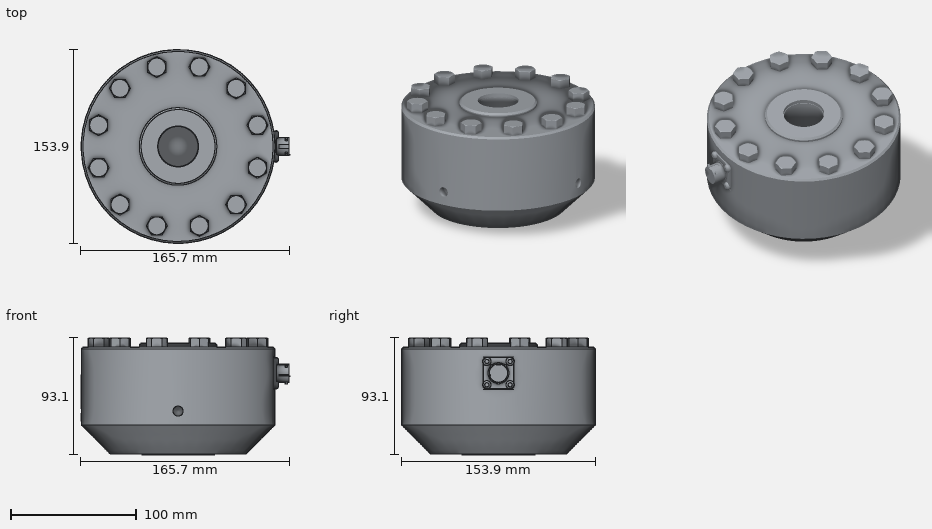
import cadquery as cq
import math

total_length = 165.7
body_diameter = 153.9
total_height = 93.1
body_radius = body_diameter / 2
connector_tip = total_length - body_radius

foot_height = 0.8
cone_top = 24.0
plate_top = 85.8
hub_top = 89.0

foot_radius = 28.8
cone_foot_radius = 53.8
hub_radius = 30.8
edge_chamfer = 1.5

bore_radius = 15.9
mouth_radius = 16.2
mouth_depth = 3.1
bore_floor = 44.5

bolt_count = 12
bolt_circle_radius = 65.3
bolt_first_angle = 15.0
bolt_across_flats = 14.4
bolt_crown_radius = 7.1
bolt_chamfer_height = 0.5

side_hole_diameter = 8.0
side_hole_height = 35.0
side_hole_depth = 6.6
drill_point_angle = 118.0
side_hole_angles = (180.0, 270.0)

connector_height = 65.1
seat_x = 76.0
seat_size = 25.8
flange_size = 24.5
flange_thickness = 1.7
flange_corner_radius = 3.1
collar_radius = 8.3
collar_thickness = 0.5
barrel_radius = 7.3
rim_tab_length = 0.5
barrel_end = connector_tip - rim_tab_length
flange_face = seat_x + flange_thickness

screw_offset = 9.3
screw_radius = 3.3
screw_head_height = 2.0
screw_shoulder_radius = 2.7
screw_shoulder_rise = 1.3
screw_crown_radius = 1.7

pin_radius = 1.0
pin_tip_radius = 8.8
pin_x = 86.0
pin_angles = (45.0, 135.0, 270.0)
keyway_start = 80.2
keyway_depth = 0.7
main_keyway = (90.0, 3.5)
side_keyway = (195.0, 1.2)

rim_tab_angle = 199.0
rim_tab_size = 0.3


def turned_body():
    profile = (
        cq.Workplane("XZ")
        .lineTo(foot_radius, 0)
        .lineTo(foot_radius, foot_height)
        .lineTo(cone_foot_radius, foot_height)
        .lineTo(body_radius, cone_top)
        .lineTo(body_radius, plate_top - edge_chamfer)
        .lineTo(body_radius - edge_chamfer, plate_top)
        .lineTo(hub_radius, plate_top)
        .lineTo(hub_radius, hub_top - edge_chamfer)
        .lineTo(hub_radius - edge_chamfer, hub_top)
        .lineTo(mouth_radius, hub_top)
        .lineTo(mouth_radius, hub_top - mouth_depth)
        .lineTo(bore_radius, hub_top - mouth_depth)
        .lineTo(bore_radius, bore_floor)
        .lineTo(0, bore_floor)
        .close()
    )
    return profile.revolve(360, (0, 0, 0), (0, 1, 0))


def bolt_head():
    """Hexagon head at the first bolt position, corners chamfered around the crown."""
    across_corners = bolt_across_flats / math.cos(math.radians(30))
    corner_radius = across_corners / 2
    head_height = total_height - plate_top
    hexagon = cq.Workplane("XY").polygon(6, across_corners).extrude(head_height)
    turning = (
        cq.Workplane("XZ")
        .lineTo(corner_radius, 0)
        .lineTo(corner_radius, head_height - bolt_chamfer_height)
        .lineTo(bolt_crown_radius, head_height)
        .lineTo(0, head_height)
        .close()
        .revolve(360, (0, 0, 0), (0, 1, 0))
    )
    angle = math.radians(bolt_first_angle)
    return hexagon.intersect(turning).translate(
        (bolt_circle_radius * math.cos(angle), bolt_circle_radius * math.sin(angle), plate_top)
    )


def side_hole(angle):
    """Drill with a conical point, entering the body radially at the given angle."""
    radius = side_hole_diameter / 2
    point_length = radius / math.tan(math.radians(drill_point_angle / 2))
    shoulder = body_radius - side_hole_depth
    drill = (
        cq.Workplane("XY")
        .moveTo(shoulder - point_length, 0)
        .lineTo(shoulder, radius)
        .lineTo(body_radius + radius, radius)
        .lineTo(body_radius + radius, 0)
        .close()
        .revolve(360, (0, 0, 0), (1, 0, 0))
    )
    return drill.translate((0, 0, side_hole_height)).rotate((0, 0, 0), (0, 0, 1), angle)


def connector_plane(x):
    """Plane across the connector axis: local x is +Y and local y is +Z."""
    return cq.Workplane("YZ", origin=(x, 0, connector_height))


def turn_about_connector(solid, angle):
    """Rotate from the +Y direction about the connector axis."""
    return solid.rotate((0, 0, connector_height), (1, 0, connector_height), angle)


def connector_seat():
    return connector_plane(seat_x).rect(body_diameter, seat_size).extrude(body_radius)


def flange():
    plate = connector_plane(seat_x).rect(flange_size, flange_size).extrude(flange_thickness)
    return plate.edges("|X").fillet(flange_corner_radius)


def screw_head(y, z):
    """Domed head standing on the flange, offset from the connector axis."""
    rise = screw_head_height
    head = (
        cq.Workplane("XY")
        .lineTo(0, screw_radius)
        .threePointArc((screw_shoulder_rise, screw_shoulder_radius), (rise, screw_crown_radius))
        .lineTo(rise, 0)
        .close()
        .revolve(360, (0, 0, 0), (1, 0, 0))
    )
    return head.translate((flange_face, y, connector_height + z))


def keyway(angle, width):
    length = barrel_end - keyway_start
    slot = connector_plane(keyway_start).center(barrel_radius, 0)
    return turn_about_connector(slot.rect(2 * keyway_depth, width).extrude(length), angle)


def bayonet_pin(angle):
    pin = cq.Workplane("XZ", origin=(pin_x, 0, connector_height)).circle(pin_radius)
    return turn_about_connector(pin.extrude(-pin_tip_radius), angle)


def rim_tab():
    tab = connector_plane(barrel_end).center(barrel_radius - rim_tab_size / 2, 0)
    tab = tab.rect(rim_tab_size, rim_tab_size).extrude(rim_tab_length)
    return turn_about_connector(tab, rim_tab_angle)


def barrel():
    collar = connector_plane(flange_face).circle(collar_radius).extrude(collar_thickness)
    shell = connector_plane(flange_face).circle(barrel_radius).extrude(barrel_end - flange_face)
    for angle, width in (main_keyway, side_keyway):
        shell = shell.cut(keyway(angle, width))
    for angle in pin_angles:
        shell = shell.union(bayonet_pin(angle))
    return shell.union(collar).union(rim_tab())


part = turned_body()
for angle in side_hole_angles:
    part = part.cut(side_hole(angle))

first_bolt = bolt_head()
for index in range(bolt_count):
    part = part.union(first_bolt.rotate((0, 0, 0), (0, 0, 1), index * 360 / bolt_count))

part = part.cut(connector_seat()).union(flange()).union(barrel())
for y in (-screw_offset, screw_offset):
    for z in (-screw_offset, screw_offset):
        part = part.union(screw_head(y, z))

result = part